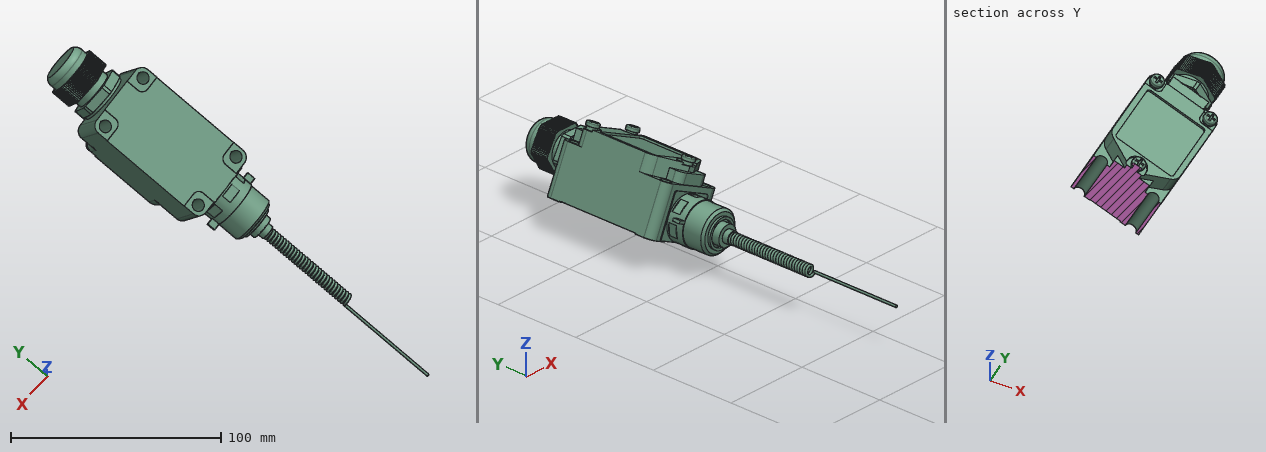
import cadquery as cq
import math

ROLL = 25.0

BOX_WIDTH = 39.5
BOX_LENGTH = 68.8
BOX_BOTTOM = -12.5
BOX_TOP = 15.7
BOX_CORNER_R = 4.5
COVER_TOP = 25.5
COVER_REAR = 59.8
COVER_SHOULDER = 14.5
COVER_SHOULDER_R = 6.7
COVER_TIP = 3.7
COVER_TIP_WIDTH = 4.2
TONGUE_WIDTH = 20.8
TONGUE_TOP = 21.5
TONGUE_FRONT = 1.0
TONGUE_FRONT_R = 4.0
PLATE_WIDTH = 33.5
PLATE_LENGTH = 36.3
PLATE_MID_Y = 32.3
PLATE_CORNER_R = 1.6
PLATE_DEPTH = 1.2

SCREW_X = 15.5
SCREW_REAR_Y = 56.1
SCREW_FRONT_Y = 7.5
SCREW_HEAD_R = 3.5
SCREW_HEAD_BOTTOM = 26.0
SCREW_HEAD_TOP = 28.5
SCREW_HEAD_EDGE_R = 0.7
SCREW_NECK_R = 2.8
SCREW_SLOT_LENGTH = 4.2
SCREW_SLOT_WIDTH = 1.0
SCREW_SLOT_DEPTH = 1.2
RECESS_DEPTH = 1.2
REAR_RECESS_X = 11.0
REAR_RECESS_Y = 52.2
REAR_RECESS_R = 2.8
FRONT_RECESS_R = 5.3

HOLE_R = 3.0
HOLE_X = 15.0
HOLE_END_GAP = 5.0
FOOT_HEIGHT = 0.5
FOOT_WIDTH = 10.9
FOOT_LENGTH = 10.2
FOOT_CORNER_R = 3.5

SEAT_WIDTH = 25.5
SEAT_TOP = 12.7
SEAT_THICKNESS = 0.58
SEAT_CORNER_R = 1.6
COLLAR_R = 12.5
COLLAR_END = 10.6
CAP_R = 12.0
CAP_END = 23.3
CAP_CHAMFER = 1.5
RING_R = 8.5
RING_BORE_R = 7.2
RING_END = 24.7
WINDOW_COUNT = 6
WINDOW_WIDTH = 7.5
WINDOW_LENGTH = 4.9
WINDOW_START = 1.6
TAB_REACH = 16.0
TAB_WIDTH = 4.5
TAB_THICKNESS = 1.6

GLAND_Z = 8.3
WASHER_R = 12.5
WASHER_END = 70.2
HEX_FLAT = 12.0
HEX_CORNER = 13.5
HEX_END = 75.0
NECK_R = 10.0
NUT_START = 79.0
NUT_END = 89.5
NUT_RIB_COUNT = 96
NUT_RIB_DEPTH = 0.5
DOME_R = 11.3
DOME_END_R = 9.5
DOME_EDGE_START = 92.5
DOME_END = 96.0

STEM_R = 6.0
STEM_END = 28.2
SLEEVE_R = 3.7
SLEEVE_END = 31.6
WIRE_R = 0.7
COIL_R = 2.5
COIL_TURNS = 30
COIL_PITCH = 1.7
COIL_START = 30.7
LEVER_END = 135.0


def block(x0, x1, y0, y1, z0, z1):
    """Box between two opposite corners."""
    return cq.Workplane("XY").box(x1 - x0, y1 - y0, z1 - z0, centered=False).translate((x0, y0, z0))


def disc(radius, y0, y1):
    """Cylinder along the Y axis."""
    return cq.Workplane("XZ", origin=(0, y0, 0)).circle(radius).extrude(y0 - y1)


def post(x, y, radius, z0, z1):
    """Vertical cylinder."""
    return cq.Workplane("XY", origin=(x, y, z0)).circle(radius).extrude(z1 - z0)


def make_box():
    half = BOX_WIDTH / 2
    box = block(-half, half, 0, BOX_LENGTH, BOX_BOTTOM, BOX_TOP)
    return box.edges("|Z").fillet(BOX_CORNER_R)


def make_foot(x_side, y_end):
    """Thin pad under one box corner, rounded on its inner corner."""
    half = BOX_WIDTH / 2
    pad = block(-half, FOOT_WIDTH - half, 0, FOOT_LENGTH, BOX_BOTTOM - FOOT_HEIGHT, BOX_BOTTOM)
    pad = pad.edges("|Z and >X and >Y").fillet(FOOT_CORNER_R)
    pad = pad.edges("|Z and <X and <Y").fillet(BOX_CORNER_R)
    if x_side > 0:
        pad = pad.mirror("YZ")
    if y_end > 0:
        pad = pad.mirror("XZ").translate((0, BOX_LENGTH, 0))
    return pad


def make_cover():
    """Raised cover that narrows to a blunt tip, with a lower tongue running nearly the box length."""
    half = BOX_WIDTH / 2
    tip = COVER_TIP_WIDTH / 2
    cover = (
        cq.Workplane("XY", origin=(0, 0, BOX_TOP))
        .moveTo(-half, COVER_REAR)
        .lineTo(half, COVER_REAR)
        .lineTo(half, COVER_SHOULDER)
        .lineTo(tip, COVER_TIP)
        .lineTo(-tip, COVER_TIP)
        .lineTo(-half, COVER_SHOULDER)
        .close()
        .extrude(COVER_TOP - BOX_TOP)
    )
    cover = cover.edges("|Z").edges(">Y").fillet(BOX_CORNER_R)
    for side in (-half, half):
        shoulder = cq.selectors.NearestToPointSelector((side, COVER_SHOULDER, (BOX_TOP + COVER_TOP) / 2))
        cover = cover.edges("|Z").edges(shoulder).fillet(COVER_SHOULDER_R)

    tongue = block(-TONGUE_WIDTH / 2, TONGUE_WIDTH / 2, TONGUE_FRONT, BOX_LENGTH, BOX_TOP, TONGUE_TOP)
    tongue = tongue.edges("|Z and <Y").fillet(TONGUE_FRONT_R)
    return cover.union(tongue)


def make_cover_recesses():
    """Nameplate recess and the shallow recesses under the screw heads."""
    floor = COVER_TOP - RECESS_DEPTH
    half = BOX_WIDTH / 2
    plate = (
        cq.Workplane("XY", origin=(0, PLATE_MID_Y, COVER_TOP - PLATE_DEPTH))
        .rect(PLATE_WIDTH, PLATE_LENGTH)
        .extrude(PLATE_DEPTH)
        .edges("|Z")
        .fillet(PLATE_CORNER_R)
    )
    corner = block(REAR_RECESS_X, half, REAR_RECESS_Y, COVER_REAR, floor, COVER_TOP)
    corner = corner.edges("|Z and <X and <Y").fillet(REAR_RECESS_R)
    tip = post(0, SCREW_FRONT_Y, FRONT_RECESS_R, floor, COVER_TOP)
    tip = tip.union(block(-FRONT_RECESS_R, FRONT_RECESS_R, 0, SCREW_FRONT_Y, floor, COVER_TOP))
    return plate.union(corner).union(corner.mirror("YZ")).union(tip)


def make_screw(x, y):
    """Cross-slotted cover screw whose head stands clear of the cover."""
    neck = post(x, y, SCREW_NECK_R, BOX_TOP, SCREW_HEAD_BOTTOM)
    head = post(x, y, SCREW_HEAD_R, SCREW_HEAD_BOTTOM, SCREW_HEAD_TOP)
    head = head.faces(">Z").edges().fillet(SCREW_HEAD_EDGE_R)
    slot_floor = SCREW_HEAD_TOP - SCREW_SLOT_DEPTH
    for size in [(SCREW_SLOT_LENGTH, SCREW_SLOT_WIDTH), (SCREW_SLOT_WIDTH, SCREW_SLOT_LENGTH)]:
        head = head.cut(cq.Workplane("XY", origin=(x, y, slot_floor)).rect(*size).extrude(SCREW_SLOT_DEPTH))
    return neck.union(head)


def make_head():
    """Operating head: square seat, collar with flat windows and two tabs, cap and end ring."""
    half = SEAT_WIDTH / 2
    seat = block(-half, half, -SEAT_THICKNESS, 0, BOX_BOTTOM, SEAT_TOP)
    seat = seat.edges("|Y and >Z").fillet(SEAT_CORNER_R)
    collar = disc(COLLAR_R, 0, -COLLAR_END)

    window_depth = math.sqrt(COLLAR_R**2 - (WINDOW_WIDTH / 2) ** 2)
    window = block(
        -WINDOW_WIDTH / 2, WINDOW_WIDTH / 2,
        -WINDOW_START - WINDOW_LENGTH, -WINDOW_START,
        window_depth, COLLAR_R,
    )
    for i in range(WINDOW_COUNT):
        collar = collar.cut(window.rotate((0, 0, 0), (0, 1, 0), i * 360 / WINDOW_COUNT))

    tabs = block(
        -TAB_REACH, TAB_REACH,
        -COLLAR_END, TAB_WIDTH - COLLAR_END,
        -TAB_THICKNESS / 2, TAB_THICKNESS / 2,
    )
    cap = disc(CAP_R, -COLLAR_END, -CAP_END).faces("<Y").edges().chamfer(CAP_CHAMFER)
    ring = disc(RING_R, -CAP_END, -RING_END).cut(disc(RING_BORE_R, -CAP_END, -RING_END))
    return seat.union(collar).union(tabs).union(cap).union(ring)


def make_housing():
    housing = make_box().union(make_cover()).cut(make_cover_recesses())
    for x_side in (-1, 1):
        for y_end in (-1, 1):
            housing = housing.union(make_foot(x_side, y_end))
    for x in (-HOLE_X, HOLE_X):
        for y in (HOLE_END_GAP, BOX_LENGTH - HOLE_END_GAP):
            housing = housing.cut(post(x, y, HOLE_R, BOX_BOTTOM - FOOT_HEIGHT, BOX_TOP))
    for x, y in [(-SCREW_X, SCREW_REAR_Y), (SCREW_X, SCREW_REAR_Y), (0, SCREW_FRONT_Y)]:
        housing = housing.union(make_screw(x, y))
    return housing.union(make_head())


def hex_radius(angle):
    """Distance from the axis to the outline of a hexagon with truncated corners on +X and -X."""
    off_corner = (angle + 30) % 60 - 30
    off_flat = angle % 60 - 30
    to_flat = HEX_FLAT / math.cos(math.radians(off_flat))
    to_corner = HEX_CORNER / math.cos(math.radians(off_corner))
    return min(to_flat, to_corner)


def polar_point(radius, angle):
    return (radius * math.cos(math.radians(angle)), radius * math.sin(math.radians(angle)))


def make_hex(y0, y1):
    """Hexagon whose six corners, one of them on +X, are cut flat."""
    corner_half_width = (HEX_FLAT / math.cos(math.radians(30)) - HEX_CORNER) * math.tan(math.radians(60))
    radius = math.hypot(HEX_CORNER, corner_half_width)
    half_angle = math.degrees(math.atan2(corner_half_width, HEX_CORNER))
    points = []
    for corner in range(6):
        points.append(polar_point(radius, 60 * corner - half_angle))
        points.append(polar_point(radius, 60 * corner + half_angle))
    return cq.Workplane("XZ", origin=(0, y0, 0)).polyline(points).close().extrude(y0 - y1)


def make_knurled_nut():
    """Hexagonal nut with fine ribs all round."""
    points = []
    for i in range(2 * NUT_RIB_COUNT):
        angle = i * 180 / NUT_RIB_COUNT
        radius = hex_radius(angle) - (i % 2) * NUT_RIB_DEPTH
        points.append(polar_point(radius, angle))
    return cq.Workplane("XZ", origin=(0, NUT_START, 0)).polyline(points).close().extrude(NUT_START - NUT_END)


def make_dome():
    """Rounded end of the gland."""
    return (
        cq.Workplane("XY")
        .moveTo(0, NUT_END)
        .lineTo(DOME_R, NUT_END)
        .lineTo(DOME_R, DOME_EDGE_START)
        .tangentArcPoint((DOME_END_R, DOME_END), relative=False)
        .lineTo(0, DOME_END)
        .close()
        .revolve(360, (0, 0, 0), (0, 1, 0))
    )


def make_gland():
    """Cable gland on the rear face of the box; its hexagons stay level with X."""
    gland = (
        disc(WASHER_R, BOX_LENGTH, WASHER_END)
        .union(make_hex(WASHER_END, HEX_END))
        .union(disc(NECK_R, HEX_END, NUT_START))
        .union(make_knurled_nut())
        .union(make_dome())
    )
    roll = math.radians(ROLL)
    return gland.translate((GLAND_Z * math.sin(roll), 0, GLAND_Z * math.cos(roll)))


def make_lever():
    """Stem standing on the cap inside its end ring, and a wire rooted in its sleeve.

    The wire is coiled first and then runs out as a straight tail.
    """
    stem = disc(STEM_R, -CAP_END, -STEM_END).union(disc(SLEEVE_R, -STEM_END, -SLEEVE_END))
    coil_length = COIL_TURNS * COIL_PITCH
    helix = cq.Wire.makeHelix(COIL_PITCH, coil_length, COIL_R)
    section = cq.Workplane("XZ", origin=(COIL_R, 0, 0)).circle(WIRE_R)
    coil = section.sweep(cq.Workplane(obj=helix), isFrenet=True)
    coil = coil.rotate((0, 0, 0), (1, 0, 0), 90).translate((0, -COIL_START, 0))
    tail = disc(WIRE_R, -COIL_START - coil_length, -LEVER_END).translate((COIL_R, 0, 0))
    return stem.union(coil).union(tail)


housing = make_housing().rotate((0, 0, 0), (0, 1, 0), ROLL)
gland = make_gland()
lever = make_lever().rotate((0, 0, 0), (0, 1, 0), ROLL)

result = cq.Compound.makeCompound([
    housing.solids().val(),
    gland.solids().val(),
    lever.solids().val(),
])